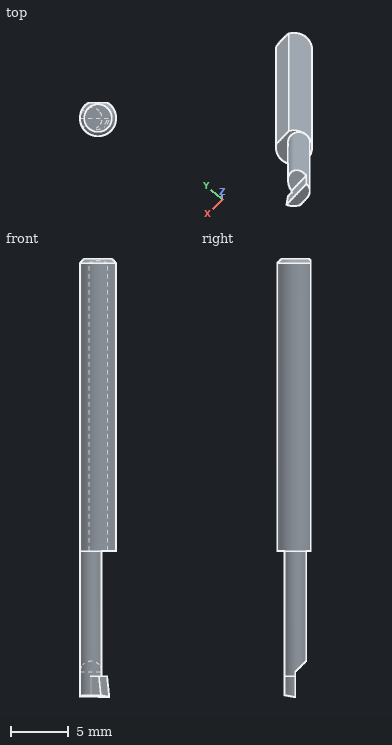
import cadquery as cq

total_length = 38.1
shank_radius = 1.58
flat_offset = 1.353
chamfer = 0.4
neck_length = 12.7

neck_radius = 0.95
neck_center_x = neck_radius - shank_radius

ramp_start_z = 2.2

tooth_height = 1.83
tooth_tip_x = 1.0
tooth_heel_x = 0.25
tooth_taper = 0.2
flank_bulge = 0.1

clearance_angle = 9
end_angle = 1.5


def make_shank():
    length = total_length - neck_length
    bar = cq.Workplane("XY").workplane(offset=neck_length).circle(shank_radius).extrude(length)
    bar = bar.faces(">Z").chamfer(chamfer)
    flat_side = cq.Workplane("XY").box(
        2 * shank_radius, shank_radius, total_length, centered=(True, False, False)
    )
    return bar.cut(flat_side.translate((0, flat_offset, 0)))


def make_neck():
    bar = cq.Workplane("XY").center(neck_center_x, 0).circle(neck_radius).extrude(neck_length)
    relief = (
        cq.Workplane("YZ")
        .polyline(
            [
                (0, 0),
                (0, ramp_start_z),
                (shank_radius, ramp_start_z + shank_radius),
                (shank_radius, 0),
            ]
        )
        .close()
        .extrude(shank_radius, both=True)
    )
    return bar.cut(relief)


def draw_tooth_section(plane, shift):
    """Section with a flat back tangent to the neck and a curved flank up to the cutting edge."""
    heel = (tooth_heel_x - shift, -neck_radius)
    tip = (tooth_tip_x - shift, 0)
    run = tip[0] - heel[0]
    rise = tip[1] - heel[1]
    chord = (run**2 + rise**2) ** 0.5
    flank_middle = (
        (heel[0] + tip[0]) / 2 + flank_bulge * rise / chord,
        (heel[1] + tip[1]) / 2 - flank_bulge * run / chord,
    )
    return (
        plane.moveTo(neck_center_x, 0)
        .lineTo(neck_center_x, -neck_radius)
        .lineTo(*heel)
        .threePointArc(flank_middle, tip)
        .close()
    )


def make_tooth():
    bottom = draw_tooth_section(cq.Workplane("XY"), 0)
    top = draw_tooth_section(bottom.workplane(offset=tooth_height), tooth_taper)
    return top.loft(ruled=True)


def make_end_cutter():
    """Block whose top face is the sloping lower end face through the tooth tip."""
    size = 4 * shank_radius
    block = cq.Workplane("XY").box(size, size, size, centered=(True, True, False))
    return (
        block.translate((0, 0, -size))
        .rotate((0, 0, 0), (1, 0, 0), -clearance_angle)
        .rotate((0, 0, 0), (0, 1, 0), end_angle)
        .translate((tooth_tip_x, 0, 0))
    )


tool_end = make_neck().union(make_tooth()).cut(make_end_cutter())
result = make_shank().union(tool_end)